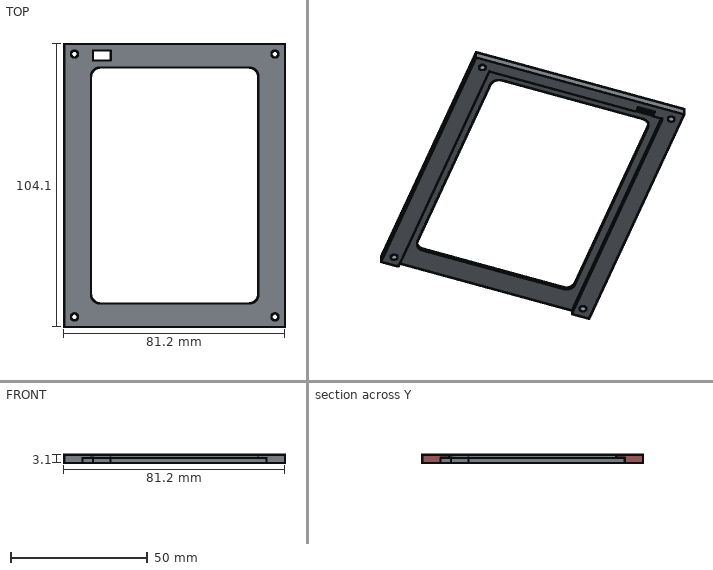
import cadquery as cq

width = 81.2
length = 104.1
thickness = 3.1

window_side_margin = 9.9
window_end_margin = 8.7
window_radius = 3.3

skin_thickness = 1.1
pocket_side_wall = 6.8
pocket_end_wall = 4.7

hole_diameter = 2.5
hole_inset = 3.7

slot_width = 6.5
slot_length = 3.5
slot_left_margin = 10.6
slot_end_margin = 2.5


def make_plate():
    return cq.Workplane("XY").box(width, length, thickness, centered=(True, True, False))


def make_window():
    window_width = width - 2 * window_side_margin
    window_length = length - 2 * window_end_margin
    block = cq.Workplane("XY").rect(window_width, window_length).extrude(thickness)
    return block.edges("|Z").fillet(window_radius)


def make_pocket():
    pocket_width = width - 2 * pocket_side_wall
    pocket_length = length - pocket_end_wall
    pocket_depth = thickness - skin_thickness
    return (
        cq.Workplane("XY")
        .center(0, -pocket_end_wall / 2)
        .rect(pocket_width, pocket_length)
        .extrude(pocket_depth)
    )


def make_corner_holes():
    return (
        cq.Workplane("XY")
        .rect(width - 2 * hole_inset, length - 2 * hole_inset, forConstruction=True)
        .vertices()
        .circle(hole_diameter / 2)
        .extrude(thickness)
    )


def make_slot():
    slot_x = -width / 2 + slot_left_margin + slot_width / 2
    slot_y = length / 2 - slot_end_margin - slot_length / 2
    return (
        cq.Workplane("XY")
        .center(slot_x, slot_y)
        .rect(slot_width, slot_length)
        .extrude(thickness)
    )


result = (
    make_plate()
    .cut(make_window())
    .cut(make_pocket())
    .cut(make_corner_holes())
    .cut(make_slot())
)